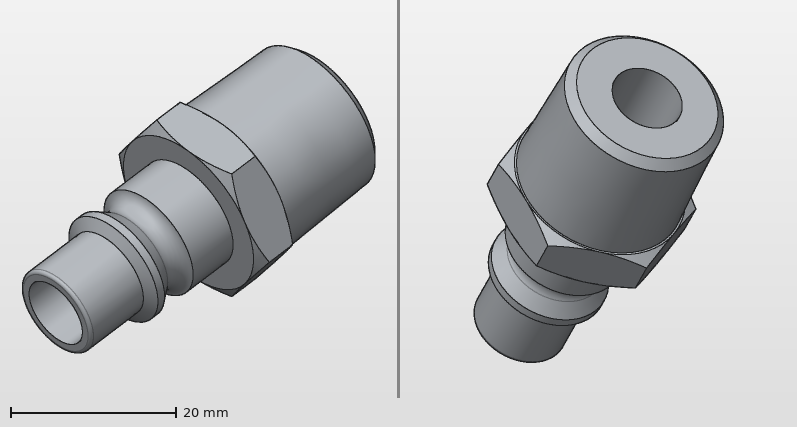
import cadquery as cq
import math

length = 46.0
bore_radius = 4.5

tip_station = -length / 2
tip_radius = 5.95
tip_fillet = 0.45
collar_radius = 7.55
collar_foot = tip_station + 9.1
collar_front = tip_station + 10.0
collar_back = tip_station + 11.15

groove_floor = tip_station + 14.1
groove_radius = 2.0
groove_floor_radius = 5.9
groove_cone_angle = math.radians(33)
shoulder_station = groove_floor + groove_radius

hex_across_flats = 22.0
hex_corner_radius = hex_across_flats / math.sqrt(3)
hex_front = tip_station + 23.0
hex_width = 6.03
hex_back = hex_front + hex_width
hex_chamfer_angle = math.radians(30)

thread_end = length / 2
gauge_station = tip_station + 36.8
gauge_radius = 10.5
taper_per_length = 1 / 32
end_chamfer = 1.15


def thread_radius(station):
    """Radius of the taper at a Y station."""
    return gauge_radius + (gauge_station - station) * taper_per_length


def groove_point(angle):
    """Point (radius, Y) on the groove arc, measured from the floor toward +Y."""
    center_radius = groove_floor_radius + groove_radius
    return (
        center_radius - groove_radius * math.cos(angle),
        groove_floor + groove_radius * math.sin(angle),
    )


def revolve_profile(profile):
    """Turn a closed (radius, Y) profile about the Y axis."""
    return profile.close().revolve(360, (0, 0, 0), (0, 1, 0))


def make_plug():
    rim_angle = math.acos((groove_floor_radius + groove_radius - collar_radius) / groove_radius)
    return revolve_profile(
        cq.Workplane("XY")
        .moveTo(0, tip_station)
        .lineTo(tip_radius - tip_fillet, tip_station)
        .radiusArc((tip_radius, tip_station + tip_fillet), -tip_fillet)
        .lineTo(tip_radius, collar_foot)
        .lineTo(collar_radius, collar_front)
        .lineTo(collar_radius, collar_back)
        .lineTo(*groove_point(-groove_cone_angle))
        .threePointArc(groove_point(0), groove_point(rim_angle))
        .lineTo(collar_radius, shoulder_station)
        .lineTo(collar_radius, hex_front)
        .lineTo(0, hex_front)
    )


def make_hexagon():
    prism = (
        cq.Workplane("XZ", origin=(0, hex_back, 0))
        .polygon(6, 2 * hex_corner_radius)
        .extrude(hex_width)
    )
    face_radius = hex_across_flats / 2
    chamfer_depth = (hex_corner_radius - face_radius) * math.tan(hex_chamfer_angle)
    envelope = revolve_profile(
        cq.Workplane("XY")
        .moveTo(0, hex_front)
        .lineTo(face_radius, hex_front)
        .lineTo(hex_corner_radius, hex_front + chamfer_depth)
        .lineTo(hex_corner_radius, hex_back - chamfer_depth)
        .lineTo(face_radius, hex_back)
        .lineTo(0, hex_back)
    )
    return prism.intersect(envelope)


def make_thread_body():
    chamfer_start = thread_end - end_chamfer
    return revolve_profile(
        cq.Workplane("XY")
        .moveTo(0, hex_back)
        .lineTo(thread_radius(hex_back), hex_back)
        .lineTo(gauge_radius, gauge_station)
        .lineTo(thread_radius(chamfer_start), chamfer_start)
        .lineTo(thread_radius(chamfer_start) - end_chamfer, thread_end)
        .lineTo(0, thread_end)
    )


bore = cq.Workplane("XZ", origin=(0, thread_end, 0)).circle(bore_radius).extrude(length)

result = make_plug().union(make_hexagon()).union(make_thread_body()).cut(bore)